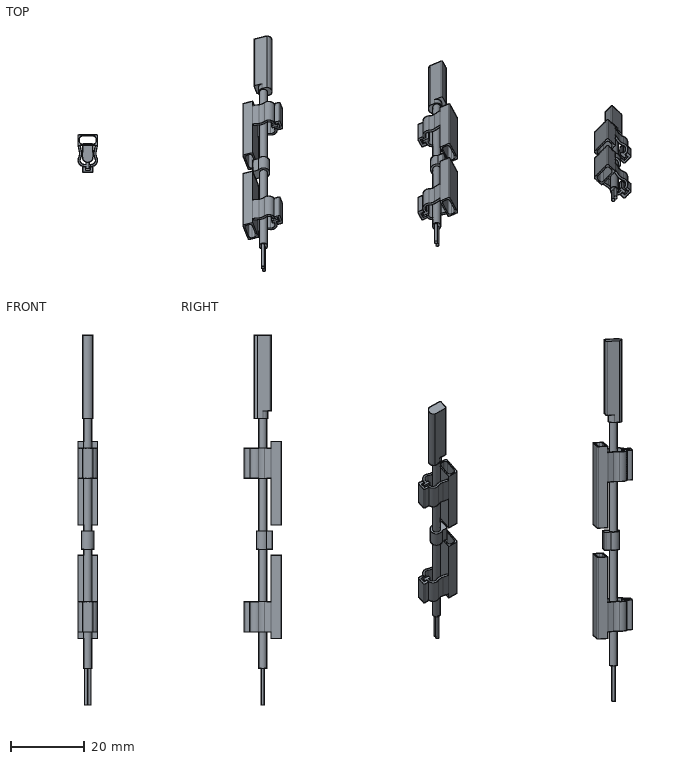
import cadquery as cq
import math


top_z = 50.5
bottom_z = -50.5
head_bottom_z = 27.7
relief_top_z = 29.8
head_width = 2.8
head_back_y = 2.3
head_nose_start_y = -1.4
head_nose_radius = 1.5
head_corner_radius = 0.3
cable_diameter = 2.2
cable_bottom_z = -40.5
wire_diameter = 0.9
wire_pitch = 0.92

collar_radius = 1.7
collar_tail_width = 2.7
collar_back_y = 2.7
collar_corner_radius = 0.3
collar_mid_z = -5.5
collar_height = 5.0

clip_length = 22.8
clip_gap = 8.2
arm_setback = 1.8
arm_length = 8.3
clip_width = 5.4
sleeve_wall = 0.4
arm_wall = 0.6
sleeve_back_y = 5.1
sleeve_front_y = 2.2
sleeve_outer_radius = 0.3
sleeve_inner_radius = 0.7
waist_half_width = 2.3
waist_y = 0.5
waist_arc_depth = 0.13
bulge_start_y = -1.1
bulge_radius = 1.7
bulge_mid_angle = 25
latch_width = 2.8
latch_corner_radius = 0.3
latch_depth = 1.6
latch_gap = 0.1
pocket_left_x = -0.6
pocket_right_x = 0.8
pocket_floor = 0.6
hook_left_x = -0.5
hook_right_x = 0.3
hook_back_y = -2.4
hook_front_y = -4.1

head_half = head_width / 2
head_nose_y = head_nose_start_y - head_nose_radius + math.sqrt(head_nose_radius**2 - head_half**2)
clip_half = clip_width / 2
latch_half = latch_width / 2
latch_front_y = -sleeve_back_y
arm_front_y = latch_front_y + latch_depth
bulge_center_x = clip_half - bulge_radius
bulge_center_y = arm_front_y + bulge_radius
collar_bottom_z = collar_mid_z - collar_height / 2


def box(x_range, y_range, height):
    """Upright block on Z = 0 between two X and two Y limits."""
    x_min, x_max = x_range
    y_min, y_max = y_range
    return (
        cq.Workplane("XY", origin=((x_min + x_max) / 2, (y_min + y_max) / 2, 0))
        .rect(x_max - x_min, y_max - y_min)
        .extrude(height)
    )


def make_sensor():
    """Head with a rounded nose, its cable and the two wires, as one solid."""
    head = (
        cq.Workplane("XY", origin=(0, 0, head_bottom_z))
        .moveTo(-head_half, head_back_y)
        .lineTo(-head_half, head_nose_start_y)
        .threePointArc((0, head_nose_y), (head_half, head_nose_start_y))
        .lineTo(head_half, head_back_y)
        .close()
        .extrude(top_z - head_bottom_z)
        .edges("|Z and >Y")
        .fillet(head_corner_radius)
    )
    relief = (
        cq.Workplane("XY", origin=(0, head_back_y / 2, head_bottom_z))
        .rect(head_width, head_back_y)
        .extrude(relief_top_z - head_bottom_z)
    )
    round_back = (
        cq.Workplane("XY", origin=(0, 0, head_bottom_z))
        .circle(head_half)
        .extrude(relief_top_z - head_bottom_z)
    )
    head = head.cut(relief.cut(round_back))

    cable = (
        cq.Workplane("XY", origin=(0, 0, cable_bottom_z))
        .circle(cable_diameter / 2)
        .extrude(head_bottom_z - cable_bottom_z)
    )
    wires = (
        cq.Workplane("XY", origin=(0, 0, bottom_z))
        .pushPoints([(-wire_pitch / 2, 0), (wire_pitch / 2, 0)])
        .circle(wire_diameter / 2)
        .extrude(cable_bottom_z - bottom_z)
    )
    return head.union(cable).union(wires)


def make_collar():
    """Ring on the cable with a flat tail toward +Y."""
    plane = cq.Workplane("XY", origin=(0, 0, collar_bottom_z))
    ring = plane.circle(collar_radius).extrude(collar_height)
    tail = (
        plane.center(0, collar_back_y / 2)
        .rect(collar_tail_width, collar_back_y)
        .extrude(collar_height)
        .edges("|Z and >Y")
        .fillet(collar_corner_radius)
    )
    bore = plane.circle(cable_diameter / 2).extrude(collar_height)
    return ring.union(tail).cut(bore)


def make_sleeve():
    """Rectangular bar that becomes the sleeve once its window is cut."""
    return (
        box((-clip_half, clip_half), (sleeve_front_y, sleeve_back_y), clip_length)
        .edges("|Z and >Y")
        .fillet(sleeve_outer_radius)
    )


def make_window():
    """Rounded opening that runs the whole length of the sleeve."""
    window_half = clip_half - sleeve_wall
    y_range = (sleeve_front_y + sleeve_wall, sleeve_back_y - sleeve_wall)
    return box((-window_half, window_half), y_range, clip_length).edges("|Z").fillet(sleeve_inner_radius)


def arm_outline():
    """Outside of the loop that the two arms form with the front wall of the sleeve."""
    start_x = bulge_center_x + math.sqrt(bulge_radius**2 - (bulge_start_y - bulge_center_y) ** 2)
    angle = math.radians(bulge_mid_angle)
    mid_x = bulge_center_x + bulge_radius * math.cos(angle)
    mid_y = bulge_center_y - bulge_radius * math.sin(angle)
    wall_back_y = sleeve_front_y + arm_wall
    return (
        cq.Workplane("XY")
        .moveTo(clip_half, wall_back_y)
        .lineTo(-clip_half, wall_back_y)
        .lineTo(-clip_half, sleeve_front_y)
        .lineTo(-waist_half_width, waist_y)
        .sagittaArc((-start_x, bulge_start_y), waist_arc_depth)
        .threePointArc((-mid_x, mid_y), (-bulge_center_x, arm_front_y))
        .lineTo(bulge_center_x, arm_front_y)
        .threePointArc((mid_x, mid_y), (start_x, bulge_start_y))
        .sagittaArc((waist_half_width, waist_y), waist_arc_depth)
        .lineTo(clip_half, sleeve_front_y)
        .close()
    )


def make_arms():
    """Both arms joined to the latch block, with the hook of the left arm in its pocket."""
    outside = arm_outline().extrude(arm_length)
    inside = arm_outline().offset2D(-arm_wall).extrude(arm_length)
    loop = outside.cut(inside)

    block = (
        box((-latch_half, latch_half), (latch_front_y, arm_front_y), arm_length)
        .edges("|Z and <Y")
        .fillet(latch_corner_radius)
    )
    lip_clearance = box((-latch_half, pocket_right_x), (arm_front_y - latch_gap, arm_front_y), arm_length)
    pocket = box(
        (pocket_left_x, pocket_right_x), (latch_front_y + pocket_floor, arm_front_y + arm_wall), arm_length
    )
    hook = box((hook_left_x, hook_right_x), (hook_front_y, hook_back_y), arm_length)
    arm_end = box((pocket_left_x, hook_right_x), (arm_front_y, arm_front_y + arm_wall), arm_length)
    return loop.union(block).cut(lip_clearance).cut(pocket).union(arm_end).union(hook)


def make_clip():
    """Clip standing on Z = 0, with the arms near its upper end."""
    arms = make_arms().translate((0, 0, clip_length - arm_setback - arm_length))
    return make_sleeve().union(arms).cut(make_window())


upper_clip = make_clip().translate((0, 0, collar_mid_z + clip_gap / 2))
clips = [upper_clip.rotate((0, 0, collar_mid_z), (0, 1, collar_mid_z), turn) for turn in (0, 180)]
sensor = make_sensor()
collar = make_collar()

result = cq.Compound.makeCompound([sensor.val(), collar.val(), *[clip.val() for clip in clips]])